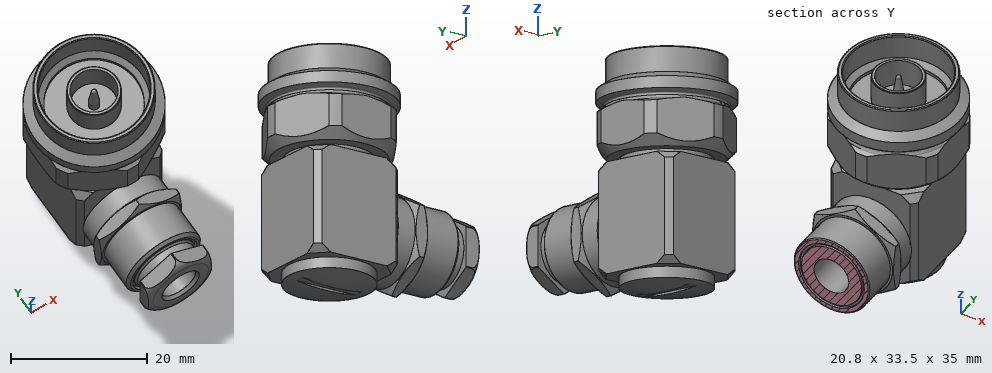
import cadquery as cq
import math


BLOCK_WIDTH = 15.0
BLOCK_BOTTOM = -7.0
BLOCK_TOP = 9.8
BLOCK_EDGE_CUT = 0.9
BLOCK_CORNER_CHAMFER = 1.1

CAP_RADIUS = 7.0
CAP_EDGE_Z = -8.67
CAP_DOME_HEIGHT = 0.71
CAP_SLOT_WIDTH = 1.55
CAP_SLOT_DEPTH = 0.4

COLLAR_RADIUS = 6.9
NUT_FLATS = 18.9
NUT_RADIUS = 10.4
NUT_BOTTOM = 10.65
NUT_BOTTOM_CHAMFER = 1.6
NUT_CORNER_TOP = 17.23
NUT_SHOULDER_RADIUS = 9.7
NUT_SHOULDER_Z = 17.63
NUT_HOLLOW_INSET = 0.25
NECK_RADIUS = 9.35
NECK_BOTTOM = 18.2
NECK_TOP = 18.65
NECK_HOLLOW = 0.15
RING_BOTTOM = 19.03
RING_TOP = 20.8
SLEEVE_RADIUS = 8.95
SLEEVE_CONE_TOP = 21.75
SLEEVE_TOP = 25.65
SLEEVE_RIM_CHAMFER = 0.15

SOCKET_RADIUS = 8.2
SOCKET_CONE_TOP = 21.65
SEAT_RADIUS = 7.35
SEAT_TOP = 20.85
SOCKET_FLOOR = 20.35

TUBE_OUTER_RADIUS = 4.0
TUBE_INNER_RADIUS = 3.5
TUBE_TOP = 24.9
TUBE_CHAMFER = 0.1
PIN_RADIUS = 0.83
PIN_TIP_RADIUS = 0.4
PIN_TAPER_BOTTOM = 21.6
PIN_TOP = 24.97

ARM_ROOT_RADIUS = 6.87
LOCKNUT_START = 10.5
LOCKNUT_END = 12.73
LOCKNUT_FLATS = 14.0
LOCKNUT_CHAMFER_ANGLE = 30.0
BARREL_RADIUS = 6.5
BARREL_CHAMFER = 0.5
BARREL_END = 18.92
BARREL_RECESS_RADIUS = 5.6
BARREL_RECESS_DEPTH = 0.7
GLAND_NECK_RADIUS = 4.9
GLAND_NECK_START = 19.05
GLAND_STEM_RADIUS = 5.2
GLAND_NECK_TAPER = 0.3
GLAND_START = 20.6
ARM_END = 23.1
GLAND_FLATS = 11.0
GLAND_RADIUS = 6.3
GLAND_EDGE_RADIUS = 1.45
BORE_RADIUS = 2.94
BORE_MOUTH_RADIUS = 3.26
BORE_MOUTH_DEPTH = 0.55
BORE_DEPTH = 10.0


def cylinder(radius, bottom, top):
    return cq.Workplane("XY").workplane(offset=bottom).circle(radius).extrude(top - bottom)


def hexagon(flats, bottom, top):
    """Hexagonal prism on the Z axis with flats facing +X and -X."""
    across_corners = flats / math.cos(math.pi / 6)
    prism = cq.Workplane("XY").polygon(6, across_corners).extrude(top - bottom)
    return prism.rotate((0, 0, 0), (0, 0, 1), 30).translate((0, 0, bottom))


def revolve_about_z(profile):
    """Revolve an XZ half-profile one full turn about the Z axis."""
    return profile.close().revolve(360, (0, 0, 0), (0, 1, 0))


def half_profile(*points):
    return cq.Workplane("XZ").polyline(points)


def body_block():
    height = BLOCK_TOP - BLOCK_BOTTOM
    block = cq.Workplane("XY").box(BLOCK_WIDTH, BLOCK_WIDTH, height)
    diagonal_width = math.sqrt(2) * (BLOCK_WIDTH - BLOCK_EDGE_CUT)
    trimmer = cq.Workplane("XY").box(diagonal_width, diagonal_width, height)
    trimmer = trimmer.faces("|Z").edges().chamfer(BLOCK_CORNER_CHAMFER)
    trimmer = trimmer.rotate((0, 0, 0), (0, 0, 1), 45)
    return block.intersect(trimmer).translate((0, 0, (BLOCK_TOP + BLOCK_BOTTOM) / 2))


def bottom_cap():
    lowest = CAP_EDGE_Z - CAP_DOME_HEIGHT
    dome_radius = (CAP_RADIUS**2 + CAP_DOME_HEIGHT**2) / (2 * CAP_DOME_HEIGHT)
    mid_radius = CAP_RADIUS / 2
    mid_z = lowest + dome_radius - math.sqrt(dome_radius**2 - mid_radius**2)
    cap = revolve_about_z(
        cq.Workplane("XZ")
        .moveTo(0, BLOCK_BOTTOM)
        .lineTo(CAP_RADIUS, BLOCK_BOTTOM)
        .lineTo(CAP_RADIUS, CAP_EDGE_Z)
        .threePointArc((mid_radius, mid_z), (0, lowest))
    )
    slot = cq.Workplane("XY").box(CAP_SLOT_WIDTH, 2 * CAP_RADIUS, 2 * CAP_SLOT_DEPTH)
    return cap.cut(slot.translate((0, 0, lowest)))


def coupling_nut():
    """Hexagon with a chamfered lower end and a hollow shoulder up to the neck."""
    envelope = revolve_about_z(
        cq.Workplane("XZ")
        .moveTo(0, NUT_BOTTOM)
        .lineTo(NUT_RADIUS - NUT_BOTTOM_CHAMFER, NUT_BOTTOM)
        .lineTo(NUT_RADIUS, NUT_BOTTOM + NUT_BOTTOM_CHAMFER)
        .lineTo(NUT_RADIUS, NUT_CORNER_TOP)
        .lineTo(NUT_SHOULDER_RADIUS, NUT_SHOULDER_Z)
        .threePointArc(
            (NUT_SHOULDER_RADIUS - NUT_HOLLOW_INSET, NUT_SHOULDER_Z + NUT_HOLLOW_INSET),
            (NECK_RADIUS, NECK_BOTTOM),
        )
        .lineTo(0, NECK_BOTTOM)
    )
    return hexagon(NUT_FLATS, NUT_BOTTOM, NECK_BOTTOM).intersect(envelope)


def sleeve():
    """Ringed sleeve above the nut, with a hollow neck beneath the ring."""
    outside = revolve_about_z(
        cq.Workplane("XZ")
        .moveTo(0, NECK_BOTTOM)
        .lineTo(NECK_RADIUS, NECK_BOTTOM)
        .threePointArc(
            (NECK_RADIUS - NECK_HOLLOW, (NECK_BOTTOM + NECK_TOP) / 2),
            (NECK_RADIUS, NECK_TOP),
        )
        .lineTo(NUT_RADIUS, RING_BOTTOM)
        .lineTo(NUT_RADIUS, RING_TOP)
        .lineTo(SLEEVE_RADIUS, SLEEVE_CONE_TOP)
        .lineTo(SLEEVE_RADIUS, SLEEVE_TOP - SLEEVE_RIM_CHAMFER)
        .lineTo(SLEEVE_RADIUS - SLEEVE_RIM_CHAMFER, SLEEVE_TOP)
        .lineTo(0, SLEEVE_TOP)
    )
    socket = revolve_about_z(half_profile(
        (0, SOCKET_FLOOR),
        (SEAT_RADIUS, SOCKET_FLOOR),
        (SEAT_RADIUS, SEAT_TOP),
        (SOCKET_RADIUS, SOCKET_CONE_TOP),
        (SOCKET_RADIUS, SLEEVE_TOP - SLEEVE_RIM_CHAMFER),
        (SOCKET_RADIUS + SLEEVE_RIM_CHAMFER, SLEEVE_TOP),
        (0, SLEEVE_TOP),
    ))
    return outside.cut(socket)


def contact_tube():
    tube = cylinder(TUBE_OUTER_RADIUS, SOCKET_FLOOR, TUBE_TOP)
    tube = tube.faces(">Z").edges().chamfer(TUBE_CHAMFER)
    return tube.cut(cylinder(TUBE_INNER_RADIUS, SOCKET_FLOOR, TUBE_TOP))


def centre_pin():
    """Tapered pin with a hemispherical tip."""
    tip_centre = PIN_TOP - PIN_TIP_RADIUS
    tip_diagonal = PIN_TIP_RADIUS * math.sqrt(0.5)
    return revolve_about_z(
        cq.Workplane("XZ")
        .moveTo(0, SOCKET_FLOOR)
        .lineTo(PIN_RADIUS, SOCKET_FLOOR)
        .lineTo(PIN_RADIUS, PIN_TAPER_BOTTOM)
        .lineTo(PIN_TIP_RADIUS, tip_centre)
        .threePointArc((tip_diagonal, tip_centre + tip_diagonal), (0, PIN_TOP))
    )


def locknut():
    """Thin hexagon chamfered on both faces."""
    corner_radius = LOCKNUT_FLATS / 2 / math.cos(math.pi / 6)
    face_radius = ARM_ROOT_RADIUS
    drop = (corner_radius - face_radius) * math.tan(math.radians(LOCKNUT_CHAMFER_ANGLE))
    envelope = revolve_about_z(half_profile(
        (0, LOCKNUT_START),
        (face_radius, LOCKNUT_START),
        (corner_radius, LOCKNUT_START + drop),
        (corner_radius, LOCKNUT_END - drop),
        (face_radius, LOCKNUT_END),
        (0, LOCKNUT_END),
    ))
    return hexagon(LOCKNUT_FLATS, LOCKNUT_START, LOCKNUT_END).intersect(envelope)


def barrel():
    body = cylinder(BARREL_RADIUS, LOCKNUT_END, BARREL_END)
    body = body.faces(">Z").edges().chamfer(BARREL_CHAMFER)
    return body.cut(cylinder(BARREL_RECESS_RADIUS, BARREL_END - BARREL_RECESS_DEPTH, BARREL_END))


def gland_neck():
    """Neck that flares to a wider stem inside the barrel recess."""
    return revolve_about_z(half_profile(
        (0, BARREL_END - BARREL_RECESS_DEPTH),
        (GLAND_STEM_RADIUS, BARREL_END - BARREL_RECESS_DEPTH),
        (GLAND_STEM_RADIUS, GLAND_NECK_START - GLAND_NECK_TAPER),
        (GLAND_NECK_RADIUS, GLAND_NECK_START),
        (GLAND_NECK_RADIUS, GLAND_START),
        (0, GLAND_START),
    ))


def gland_nut():
    """End hexagon with rounded corners and a rounded outer edge."""
    envelope = cylinder(GLAND_RADIUS, GLAND_START, ARM_END)
    envelope = envelope.faces(">Z").edges().fillet(GLAND_EDGE_RADIUS)
    return hexagon(GLAND_FLATS, GLAND_START, ARM_END).intersect(envelope)


def cable_bore():
    return revolve_about_z(half_profile(
        (0, ARM_END - BORE_DEPTH),
        (BORE_RADIUS, ARM_END - BORE_DEPTH),
        (BORE_RADIUS, ARM_END - BORE_MOUTH_DEPTH),
        (BORE_MOUTH_RADIUS, ARM_END),
        (0, ARM_END),
    ))


def cable_arm():
    """Arm built along +Z from the block face, then laid over toward -Y."""
    arm = cylinder(ARM_ROOT_RADIUS, BLOCK_WIDTH / 2, LOCKNUT_START)
    arm = arm.union(locknut()).union(barrel())
    arm = arm.union(gland_neck()).union(gland_nut()).cut(cable_bore())
    return arm.rotate((0, 0, 0), (1, 0, 0), 90)


result = (
    body_block()
    .union(bottom_cap())
    .union(cylinder(COLLAR_RADIUS, BLOCK_TOP, NUT_BOTTOM))
    .union(coupling_nut())
    .union(sleeve())
    .union(contact_tube())
    .union(centre_pin())
    .union(cable_arm())
)